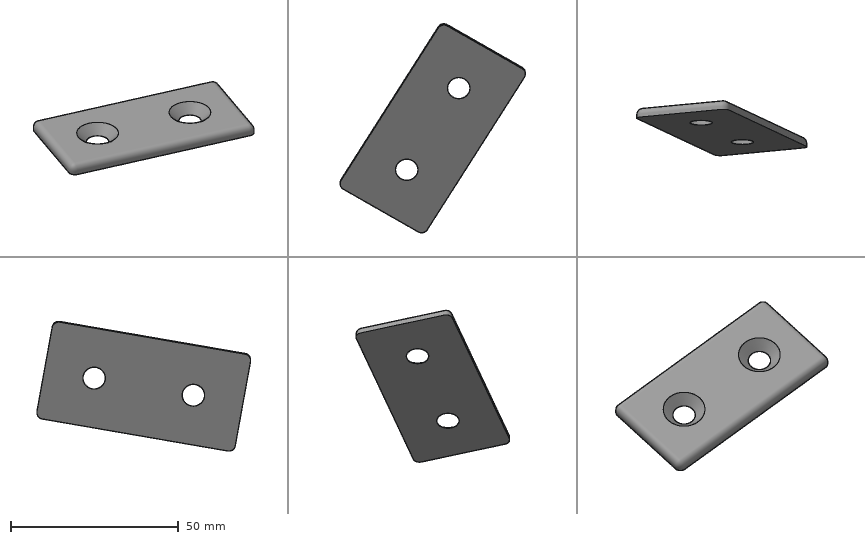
import cadquery as cq

length = 60.0
width = length / 2
thickness = 3.0
edge_radius = 2.0

hole_spacing = length / 2
hole_diameter = 6.6
countersink_diameter = 12.4
countersink_angle = 90.0

plate = (
    cq.Workplane("XY")
    .box(width, length, thickness, centered=(True, True, False))
    .edges("|Z")
    .fillet(edge_radius)
    .faces(">Z")
    .edges()
    .fillet(edge_radius)
)

result = (
    plate.faces(">Z")
    .workplane(origin=(0, 0, thickness))
    .pushPoints([(0, -hole_spacing / 2), (0, hole_spacing / 2)])
    .cskHole(hole_diameter, countersink_diameter, countersink_angle)
)